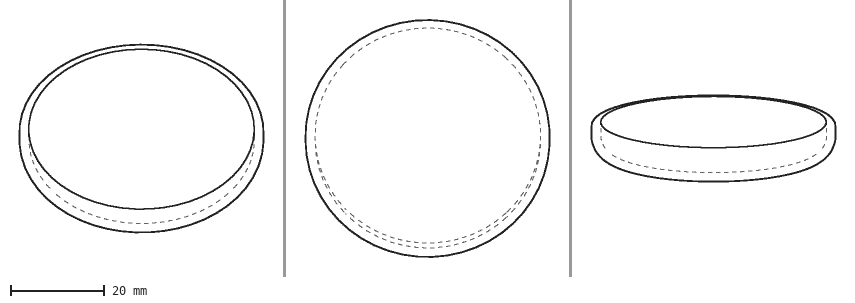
import cadquery as cq

outer_diameter = 52.0
height = 8.0

inner_diameter = 48.0
thickness = (outer_diameter - inner_diameter) / 2

bottom_round = 5.0
inner_round = bottom_round - thickness
rim_round = 1.0


def rounded_body():
    """Solid disc with a large bottom round and a small outer rim round."""
    disc = cq.Workplane("XY").circle(outer_diameter / 2).extrude(height)
    return disc.faces("<Z").edges().fillet(bottom_round).faces(">Z").edges().fillet(rim_round)


def cavity():
    """Open recess with a rounded floor corner."""
    recess = (
        cq.Workplane("XY")
        .workplane(offset=thickness)
        .circle(inner_diameter / 2)
        .extrude(height - thickness)
    )
    return recess.faces("<Z").edges().fillet(inner_round)


result = rounded_body().cut(cavity())